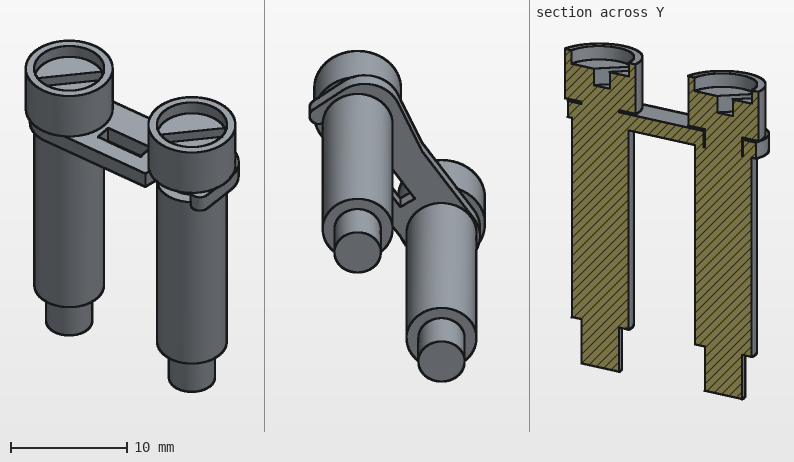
import cadquery as cq
import math

TOTAL_HEIGHT = 28.15
PIN_HEIGHT = 4.0
SHAFT_HEIGHT = 18.02
LINK_THICKNESS = 1.5
HEAD_HEIGHT = 4.5
SHAFT_TOP = PIN_HEIGHT + SHAFT_HEIGHT

SCREW_SPACING = 13.0
PIN_RADIUS = 2.0
SHAFT_RADIUS = 3.0
HEAD_RADIUS = 3.75
RECESS_RADIUS = 3.0
RECESS_DEPTH = 1.2
DRIVE_WIDTH = 1.13
DRIVE_DEPTH = 1.5
DRIVE_ANGLE = 45

LINK_RADIUS = 3.12
END_OFFSET = 0.35
KINK_X = -5.32
HOOK_CENTRE = (0.42, 1.0)
HOOK_RADIUS = 3.1
MOUTH_X = -2.67
SEAT_RADIUS = 2.05
TIP_CENTRE = (2.53, -2.35)
TIP_RADIUS = 0.8

WINDOW_LENGTH = 4.5
WINDOW_WIDTH = 1.5
WINDOW_START = 4.15

LEFT_X = -SCREW_SPACING / 2
RIGHT_X = SCREW_SPACING / 2


def from_right(point):
    """Shift a point given from the right screw axis into part coordinates."""
    return (RIGHT_X + point[0], point[1])


def on_circle(centre, radius, angle):
    return (centre[0] + radius * math.cos(angle), centre[1] + radius * math.sin(angle))


def tangent_normal(start, start_radius, end, end_radius):
    """Angle of the normal of the line touching both circles on its left side.

    A radius of 0 stands for a point; a negative radius touches on the other side.
    """
    dx = end[0] - start[0]
    dy = end[1] - start[1]
    return math.atan2(dy, dx) + math.acos((start_radius - end_radius) / math.hypot(dx, dy))


def make_screw(x):
    pin = cq.Workplane("XY").circle(PIN_RADIUS).extrude(TOTAL_HEIGHT - HEAD_HEIGHT)
    shaft = cq.Workplane("XY", origin=(0, 0, PIN_HEIGHT)).circle(SHAFT_RADIUS).extrude(SHAFT_HEIGHT)
    head = (
        cq.Workplane("XY", origin=(0, 0, TOTAL_HEIGHT - HEAD_HEIGHT))
        .circle(HEAD_RADIUS)
        .extrude(HEAD_HEIGHT)
    )
    recess = cq.Workplane("XY", origin=(0, 0, TOTAL_HEIGHT)).circle(RECESS_RADIUS).extrude(-RECESS_DEPTH)
    slot_depth = RECESS_DEPTH + DRIVE_DEPTH
    slot_limit = cq.Workplane("XY", origin=(0, 0, TOTAL_HEIGHT)).circle(RECESS_RADIUS).extrude(-slot_depth)
    slot = (
        cq.Workplane("XY", origin=(0, 0, TOTAL_HEIGHT))
        .rect(2 * RECESS_RADIUS, DRIVE_WIDTH)
        .extrude(-slot_depth)
        .rotate((0, 0, 0), (0, 0, 1), DRIVE_ANGLE)
        .intersect(slot_limit)
    )
    screw = pin.union(shaft).union(head).cut(recess).cut(slot)
    return screw.translate((x, 0, 0))


def make_link():
    end_x = LEFT_X - END_OFFSET
    kink = from_right((KINK_X, LINK_RADIUS))
    mouth = from_right((MOUTH_X, -LINK_RADIUS))
    hook = from_right(HOOK_CENTRE)
    tip = from_right(TIP_CENTRE)
    seat = from_right((0, 0))

    slope = tangent_normal(kink, 0, hook, HOOK_RADIUS)
    outer = tangent_normal(hook, HOOK_RADIUS, tip, TIP_RADIUS)
    inner = tangent_normal(tip, TIP_RADIUS, seat, -SEAT_RADIUS)
    mouth_side = tangent_normal(seat, -SEAT_RADIUS, mouth, 0)

    seat_start = inner + math.pi
    seat_end = mouth_side + math.pi
    outline = (
        cq.Workplane("XY", origin=(0, 0, SHAFT_TOP))
        .moveTo(end_x, LINK_RADIUS)
        .lineTo(*kink)
        .lineTo(*on_circle(hook, HOOK_RADIUS, slope))
        .threePointArc(
            on_circle(hook, HOOK_RADIUS, (slope + outer) / 2),
            on_circle(hook, HOOK_RADIUS, outer),
        )
        .lineTo(*on_circle(tip, TIP_RADIUS, outer))
        .threePointArc(
            on_circle(tip, TIP_RADIUS, -math.pi / 2),
            on_circle(tip, TIP_RADIUS, inner),
        )
        .lineTo(*on_circle(seat, SEAT_RADIUS, seat_start))
        .threePointArc(
            on_circle(seat, SEAT_RADIUS, math.pi / 2),
            on_circle(seat, SEAT_RADIUS, seat_end),
        )
        .lineTo(*mouth)
        .lineTo(end_x, -LINK_RADIUS)
        .threePointArc((end_x - LINK_RADIUS, 0), (end_x, LINK_RADIUS))
        .close()
    )
    window = (
        cq.Workplane("XY", origin=(LEFT_X + WINDOW_START, -WINDOW_WIDTH, SHAFT_TOP))
        .rect(WINDOW_LENGTH, WINDOW_WIDTH, centered=False)
        .extrude(LINK_THICKNESS)
    )
    return outline.extrude(LINK_THICKNESS).cut(window)


result = make_link()
for screw_x in (LEFT_X, RIGHT_X):
    result = result.union(make_screw(screw_x))